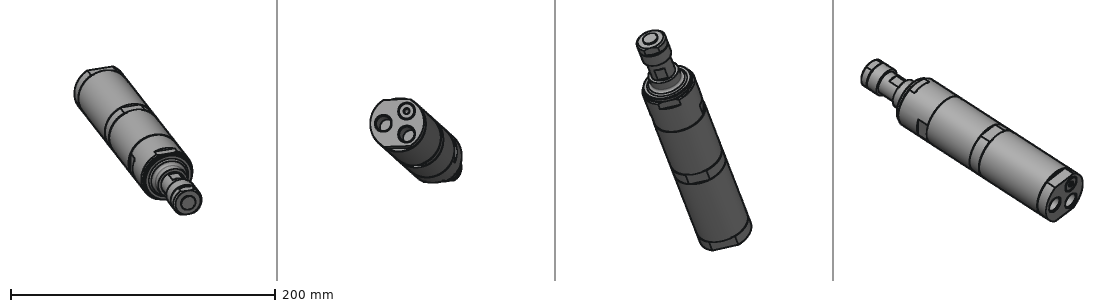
import cadquery as cq
import math

LENGTH = 201.0
BODY_R = 41.5 / 2
SEAM = 0.5

CAP_END = 8.8
NECK_START = 69.0
NECK_END = 78.8
NOSE_START = 123.3
NOSE_END = 151.8
SHOULDER_END = 155.8
COLLAR_END = 165.7
NUT_START = 183.0
NUT_GROOVE_START = 192.6
NUT_GROOVE_WIDTH = 0.6
NUT_END = 199.9

NOSE_CHAMFER_LENGTH = 1.2
NOSE_CHAMFER_DEPTH = 1.0
SHOULDER_R = 38.0 / 2
SHOULDER_CHAMFER = 0.6
CONE_R = 31.8 / 2
CONE_LENGTH = 1.2
COLLAR_R = 24.0 / 2
COLLAR_FILLET = 2.5
SHAFT_R = 19.0 / 2
NUT_R = 23.0 / 2
NUT_SMALL_R = 20.1 / 2
NUT_CHAMFER_LENGTH = 1.2
TIP_R = 11.5 / 2

CAP_ACROSS = 36.0
BODY_ACROSS = 38.0
SHAFT_ACROSS = 17.0
NUT_ACROSS = 20.1
WINDOW_LENGTH = 9.7
NOSE_FLAT_START = 146.8
SHAFT_FLAT_START = 166.7
SHAFT_FLAT_LENGTH = 9.9

PORT_DIAMETER = 11.5
PORT_MOUTH_DIAMETER = 13.3
PORT_DEPTH = 16.0
SINGLE_PORT_Y = 10.5
PAIRED_PORT_Y = -7.5
PAIRED_PORT_Z = 8.8
JET_MOUTH_DIAMETER = 4.8
JET_DIAMETER = 4.0
JET_DEPTH = 2.0


def turned_body():
    """Revolve the stepped profile, drawn as (x, radius), about the X axis."""
    seam_r = BODY_R - SEAM
    fillet_start = COLLAR_R + COLLAR_FILLET
    cone_end = SHOULDER_END + CONE_LENGTH
    fillet_end = cone_end + COLLAR_FILLET
    sag = COLLAR_FILLET * (1 - math.sqrt(0.5))
    profile = (
        cq.Workplane("XY")
        .moveTo(0, 0)
        .lineTo(0, BODY_R)
        .lineTo(CAP_END, BODY_R)
        .lineTo(CAP_END, seam_r)
        .lineTo(CAP_END + SEAM, BODY_R)
        .lineTo(NECK_START, BODY_R)
        .lineTo(NECK_START, seam_r)
        .lineTo(NECK_START + SEAM, BODY_R)
        .lineTo(NECK_END - SEAM, BODY_R)
        .lineTo(NECK_END, seam_r)
        .lineTo(NECK_END, BODY_R)
        .lineTo(NOSE_START - SEAM, BODY_R)
        .lineTo(NOSE_START, seam_r)
        .lineTo(NOSE_START, BODY_R)
        .lineTo(NOSE_END, BODY_R)
        .lineTo(NOSE_END + NOSE_CHAMFER_LENGTH, BODY_R - NOSE_CHAMFER_DEPTH)
        .lineTo(NOSE_END + NOSE_CHAMFER_LENGTH, SHOULDER_R)
        .lineTo(SHOULDER_END - SHOULDER_CHAMFER, SHOULDER_R)
        .lineTo(SHOULDER_END, SHOULDER_R - SHOULDER_CHAMFER)
        .lineTo(SHOULDER_END, CONE_R)
        .lineTo(cone_end, fillet_start)
        .threePointArc((cone_end + sag, COLLAR_R + sag), (fillet_end, COLLAR_R))
        .lineTo(COLLAR_END, COLLAR_R)
        .lineTo(COLLAR_END, SHAFT_R)
        .lineTo(NUT_START, SHAFT_R)
        .lineTo(NUT_START, NUT_R)
        .lineTo(NUT_GROOVE_START, NUT_R)
        .lineTo(NUT_GROOVE_START, NUT_SMALL_R)
        .lineTo(NUT_GROOVE_START + NUT_GROOVE_WIDTH, NUT_SMALL_R)
        .lineTo(NUT_GROOVE_START + NUT_GROOVE_WIDTH, NUT_R)
        .lineTo(NUT_END - NUT_CHAMFER_LENGTH, NUT_R)
        .lineTo(NUT_END, NUT_SMALL_R)
        .lineTo(NUT_END, TIP_R)
        .lineTo(LENGTH, TIP_R)
        .lineTo(LENGTH, 0)
        .close()
    )
    return profile.revolve(360, (0, 0, 0), (1, 0, 0))


def flat_pair(x_start, x_end, across, on_sides=False):
    """Blocks that cut two opposite flats, above and below or on the +Y and -Y sides."""
    width = 2 * BODY_R
    block = cq.Workplane("XY").box(x_end - x_start, width, width, centered=(False, True, False))
    upper = block.translate((x_start, 0, across / 2))
    pair = upper.union(upper.mirror("XY"))
    return pair.rotate((0, 0, 0), (1, 0, 0), 90) if on_sides else pair


def turned_cutter(points, y, z):
    """Revolve a (depth, radius) outline into a cutter centred at (y, z) on the rear face."""
    cutter = cq.Workplane("XY").polyline(points).close().revolve(360, (0, 0, 0), (1, 0, 0))
    return cutter.translate((0, y, z))


def open_port(y, z):
    """Flat-bottomed hole with a 45 degree mouth chamfer."""
    mouth_r = PORT_MOUTH_DIAMETER / 2
    bore_r = PORT_DIAMETER / 2
    chamfer = mouth_r - bore_r
    outline = [(0, 0), (0, mouth_r), (chamfer, bore_r), (PORT_DEPTH, bore_r), (PORT_DEPTH, 0)]
    return turned_cutter(outline, y, z)


def plug_groove(y, z):
    """V groove where the port chamfer meets the equally chamfered rim of a flush plug."""
    outer_r = PORT_MOUTH_DIAMETER / 2
    inner_r = PORT_DIAMETER / 2
    half_width = (outer_r - inner_r) / 2
    return turned_cutter([(0, inner_r), (half_width, inner_r + half_width), (0, outer_r)], y, z)


def jet(y, z):
    """Small countersunk hole with a conical bottom."""
    mouth_r = JET_MOUTH_DIAMETER / 2
    bore_r = JET_DIAMETER / 2
    chamfer = mouth_r - bore_r
    tip_depth = JET_DEPTH + bore_r
    outline = [(0, 0), (0, mouth_r), (chamfer, bore_r), (JET_DEPTH, bore_r), (tip_depth, 0)]
    return turned_cutter(outline, y, z)


result = turned_body()

result = result.cut(flat_pair(0, CAP_END, CAP_ACROSS))
result = result.cut(flat_pair(NECK_START, NECK_END, BODY_ACROSS))
result = result.cut(flat_pair(NOSE_START, NOSE_START + WINDOW_LENGTH, BODY_ACROSS, on_sides=True))
result = result.cut(flat_pair(NOSE_FLAT_START, SHOULDER_END, BODY_ACROSS))
result = result.cut(flat_pair(SHAFT_FLAT_START, SHAFT_FLAT_START + SHAFT_FLAT_LENGTH, SHAFT_ACROSS))
result = result.cut(flat_pair(NUT_GROOVE_START, NUT_END, NUT_ACROSS))

result = result.cut(open_port(SINGLE_PORT_Y, 0))
result = result.cut(open_port(PAIRED_PORT_Y, -PAIRED_PORT_Z))
result = result.cut(plug_groove(PAIRED_PORT_Y, PAIRED_PORT_Z))
result = result.cut(jet(PAIRED_PORT_Y, PAIRED_PORT_Z))